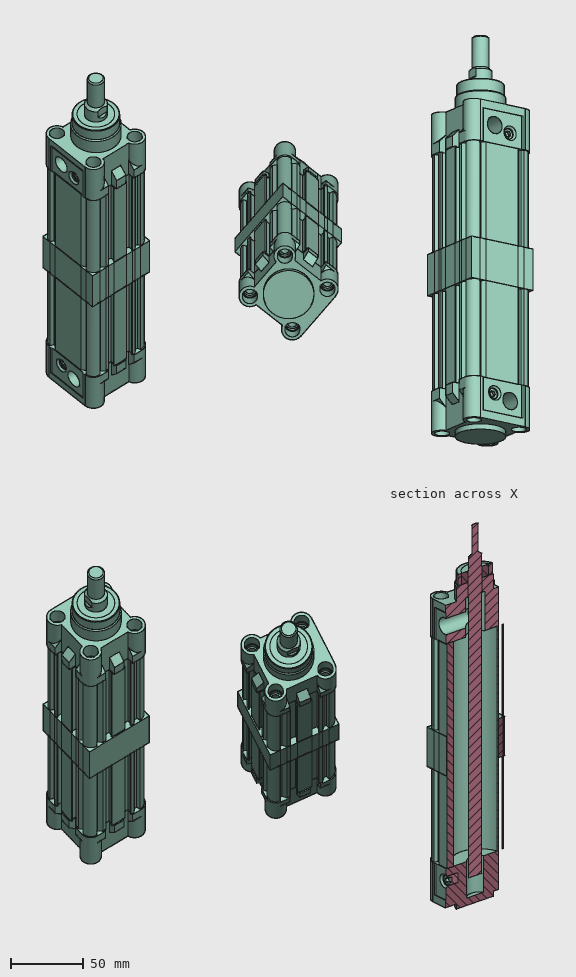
import cadquery as cq
import math

rear_spigot_height = 3.8
cap_height = 29.9
body_length = 230.4
total_length = 289.0
rear_cap_bottom = rear_spigot_height
rear_cap_top = rear_cap_bottom + cap_height
front_cap_top = rear_cap_bottom + body_length
front_cap_bottom = front_cap_top - cap_height
barrel_length = front_cap_bottom - rear_cap_top
body_middle = (rear_cap_bottom + front_cap_top) / 2

post_pitch = 38.0
post_offset = post_pitch / 2
cap_half = 26.5
panel_face = 26.65
cap_post_radius = cap_half - post_offset
cap_wall = 21.0
tie_counterbore_diameter = 10.4
tie_counterbore_depth = 12.0
tie_seat_diameter = 9.0
tie_seat_depth = 16.0
tie_clearance_diameter = 6.6
barrel_tie_diameter = 4.6

spigot_diameter = 35.0
front_spigot_height = 11.6
spigot_chamfer = 0.9
nose_diameter = 33.0
nose_height = 8.6
nose_chamfer = 0.5
wiper_diameter = 26.0
rod_diameter = 16.0
rod_rear_end = 20.5
shoulder_height = 32.0
shoulder_chamfer = 2.0
flat_spacing = 13.6
flat_start = 258.9
flat_runout = 1.8
thread_diameter = 12.0
thread_chamfer = 1.0

front_bore_diameter = 20.0
rear_bore_diameter = 18.2
rear_bore_floor = 6.0

lug_height = 7.8
centre_lug_half_width = 4.2
side_lug_inner = 11.7
side_lug_outer = post_offset

panel_half_width = 17.0
panel_wall_run = 1.0
panel_depth = 0.5
panel_margin = 5.9
port_diameter = 12.4
port_depth = panel_face
port_offset = 6.5
port_below_face = 16.5
screw_below_face = 20.0
screw_mouth_diameter = 10.4
screw_diameter = 7.5
screw_mouth_depth = 1.5
screw_recess = 1.0
screw_length = 8.0
screw_socket_width = 4.0
screw_socket_depth = 2.5

barrel_half = 25.6
barrel_bore_diameter = 40.0
groove_outer = 18.7
groove_floor_outer = 17.8
groove_floor_inner = 16.1
groove_inner = 13.5
groove_depth = groove_floor_inner - groove_inner
sensor_slot_inner = 5.7
sensor_slot_outer = 10.9
sensor_slot_depth = 4.5
sensor_slot_lip = 1.0
sensor_slot_undercut = 0.8

band_height = 30.0
band_half_width = 26.0
band_front = -band_half_width
band_back = panel_face

post_centres = [(sx * post_offset, sy * post_offset) for sx in (-1, 1) for sy in (-1, 1)]
plain_side_angles = (-90, 0, 90)


def turned(solid, angle):
    return solid.rotate((0, 0, 0), (0, 0, 1), angle)


def cylinder(diameter, bottom, top):
    return cq.Workplane("XY").workplane(offset=bottom).circle(diameter / 2).extrude(top - bottom)


def side_lugs():
    """Lugs on the +Y side at the barrel end, with tops sloped at 45 degrees."""
    run = cap_half - cap_wall
    lugs = cq.Workplane("XY")
    spans = [
        (-centre_lug_half_width, centre_lug_half_width),
        (side_lug_inner, side_lug_outer),
        (-side_lug_outer, -side_lug_inner),
    ]
    for start, end in spans:
        lug = (
            cq.Workplane("YZ", origin=(start, 0, -cap_height))
            .moveTo(cap_wall, 0)
            .lineTo(cap_half, 0)
            .lineTo(cap_half, lug_height)
            .lineTo(cap_wall, lug_height + run)
            .close()
            .extrude(end - start)
        )
        lugs = lugs.add(lug)
    return lugs.combine()


def panel_recess():
    """Shallow recess in the -Y face with sloped side walls, open at the barrel end."""
    floor_half = panel_half_width - panel_wall_run
    return (
        cq.Workplane("XY", origin=(0, 0, -cap_height))
        .moveTo(-panel_half_width, -panel_face)
        .lineTo(panel_half_width, -panel_face)
        .lineTo(floor_half, -panel_face + panel_depth)
        .lineTo(-floor_half, -panel_face + panel_depth)
        .close()
        .extrude(cap_height - panel_margin)
    )


def screw_axis_plane(depth):
    """Plane across the cushion screw axis at a depth below the panel floor; its normal is -Y."""
    origin = (port_offset, -panel_face + panel_depth + depth, -screw_below_face)
    return cq.Workplane("XZ", origin=origin)


def screw_pocket():
    mouth = (
        screw_axis_plane(0)
        .circle(screw_mouth_diameter / 2)
        .workplane(offset=-screw_mouth_depth)
        .circle(screw_diameter / 2)
        .loft()
    )
    shank = screw_axis_plane(0).circle(screw_diameter / 2)
    return mouth.union(shank.extrude(-(screw_mouth_depth + screw_recess + screw_length)))


def cap_blank():
    base = cq.Workplane("XY", origin=(0, 0, -cap_height))
    core = base.rect(2 * cap_wall, 2 * post_offset).extrude(cap_height)
    back = base.rect(2 * post_offset, 2 * cap_wall).extrude(cap_height)
    panel_block = base.center(0, -panel_face / 2).rect(2 * post_offset, panel_face).extrude(cap_height)
    posts = base.pushPoints(post_centres).circle(cap_post_radius).extrude(cap_height)
    cap = core.union(back).union(panel_block).union(posts)
    for angle in plain_side_angles:
        cap = cap.union(turned(side_lugs(), angle))
    return cap


def cap_body():
    cap = cap_blank().cut(panel_recess())
    tie_hole_steps = [
        (tie_counterbore_diameter, tie_counterbore_depth),
        (tie_seat_diameter, tie_seat_depth),
        (tie_clearance_diameter, cap_height),
    ]
    for diameter, depth in tie_hole_steps:
        tie_holes = cq.Workplane("XY").pushPoints(post_centres).circle(diameter / 2).extrude(-depth)
        cap = cap.cut(tie_holes)
    port = (
        cq.Workplane("XZ", origin=(-port_offset, -panel_face, -port_below_face))
        .circle(port_diameter / 2)
        .extrude(-port_depth)
    )
    return cap.cut(port).cut(screw_pocket())


def cushion_screw():
    """Cushion adjusting screw with a hexagon socket, sunk below the mouth of its pocket."""
    head_depth = screw_mouth_depth + screw_recess
    screw = screw_axis_plane(head_depth).circle(screw_diameter / 2).extrude(-screw_length)
    socket = (
        screw_axis_plane(head_depth)
        .polygon(6, screw_socket_width / math.cos(math.pi / 6))
        .extrude(-screw_socket_depth)
    )
    return screw.cut(socket)


def at_front(body):
    return body.translate((0, 0, front_cap_top))


def at_rear(body):
    return body.rotate((0, 0, 0), (0, 1, 0), 180).translate((0, 0, rear_cap_bottom))


spigot_top = front_cap_top + front_spigot_height
front_spigot = cylinder(spigot_diameter, front_cap_top, spigot_top).faces(">Z").chamfer(spigot_chamfer)
front_cap = (
    at_front(cap_body())
    .union(front_spigot)
    .cut(cylinder(front_bore_diameter, front_cap_bottom, front_cap_top))
    .cut(cylinder(rod_diameter, front_cap_top, spigot_top))
)

rear_cap = (
    at_rear(cap_body())
    .union(cylinder(spigot_diameter, 0, rear_cap_bottom))
    .cut(cylinder(rear_bore_diameter, rear_bore_floor, rear_cap_top))
)

cushion_screws = [at_front(cushion_screw()), at_rear(cushion_screw())]

nose_top = spigot_top + nose_height
nose = cylinder(nose_diameter, spigot_top, nose_top).faces(">Z").chamfer(nose_chamfer)
nose = nose.cut(cylinder(wiper_diameter, spigot_top, nose_top))
wiper = cylinder(wiper_diameter, spigot_top, nose_top).cut(cylinder(rod_diameter, spigot_top, nose_top))

shoulder_top = front_cap_top + shoulder_height


def wrench_flat():
    """Cutter for the +X wrench flat, with a sloped run-out at its lower end."""
    flat_face = flat_spacing / 2
    flat_cut = rod_diameter / 2 - flat_face
    return (
        cq.Workplane("XZ", origin=(0, rod_diameter / 2, 0))
        .moveTo(flat_face, flat_start)
        .lineTo(flat_face + flat_cut, flat_start - flat_runout)
        .lineTo(flat_face + flat_cut, shoulder_top)
        .lineTo(flat_face, shoulder_top)
        .close()
        .extrude(rod_diameter)
    )


rod = cylinder(rod_diameter, rod_rear_end, shoulder_top).faces(">Z").chamfer(shoulder_chamfer)
for angle in (0, 180):
    rod = rod.cut(turned(wrench_flat(), angle))
rod = rod.union(
    cylinder(thread_diameter, shoulder_top, total_length).faces(">Z").chamfer(thread_chamfer)
)


def edge_groove(side):
    """Groove beside a corner post on the +Y side."""
    floor = barrel_half - groove_depth
    return (
        cq.Workplane("XY", origin=(0, 0, rear_cap_top))
        .moveTo(side * groove_outer, barrel_half)
        .lineTo(side * groove_floor_outer, floor)
        .lineTo(side * groove_floor_inner, floor)
        .lineTo(side * groove_inner, barrel_half)
        .close()
        .extrude(barrel_length)
    )


def sensor_slot(side):
    """T-shaped sensor slot on the +Y side, wider below its lips."""
    opening = sensor_slot_outer - sensor_slot_inner
    middle = side * (sensor_slot_inner + sensor_slot_outer) / 2
    inner_depth = sensor_slot_depth - sensor_slot_lip
    neck = (
        cq.Workplane("XY", origin=(middle, barrel_half - sensor_slot_depth / 2, rear_cap_top))
        .rect(opening, sensor_slot_depth)
        .extrude(barrel_length)
    )
    chamber = (
        cq.Workplane("XY", origin=(middle, barrel_half - sensor_slot_lip - inner_depth / 2, rear_cap_top))
        .rect(opening + 2 * sensor_slot_undercut, inner_depth)
        .extrude(barrel_length)
    )
    return neck.union(chamber)


barrel_outside = (
    cq.Workplane("XY", origin=(0, 0, rear_cap_top))
    .rect(2 * barrel_half, 2 * barrel_half)
    .extrude(barrel_length)
    .edges("|Z")
    .fillet(barrel_half - post_offset)
)
barrel_section = barrel_outside
for side in (-1, 1):
    for angle in (*plain_side_angles, 180):
        barrel_section = barrel_section.cut(turned(edge_groove(side), angle))
    for angle in plain_side_angles:
        barrel_section = barrel_section.cut(turned(sensor_slot(side), angle))
barrel_tie_holes = (
    cq.Workplane("XY", origin=(0, 0, rear_cap_top))
    .pushPoints(post_centres)
    .circle(barrel_tie_diameter / 2)
    .extrude(barrel_length)
)
barrel_bore = cylinder(barrel_bore_diameter, rear_cap_top, front_cap_bottom)
barrel = barrel_section.cut(barrel_tie_holes).cut(barrel_bore)

band = cq.Workplane("XY").box(
    2 * band_half_width, band_back - band_front, band_height, centered=(True, False, True)
)
band = band.translate((0, band_front, body_middle)).cut(barrel_section)

result = cq.Compound.makeCompound(
    [
        front_cap.val(),
        rear_cap.val(),
        *[screw.val() for screw in cushion_screws],
        nose.val(),
        wiper.val(),
        rod.val(),
        barrel.val(),
        band.val(),
    ]
)